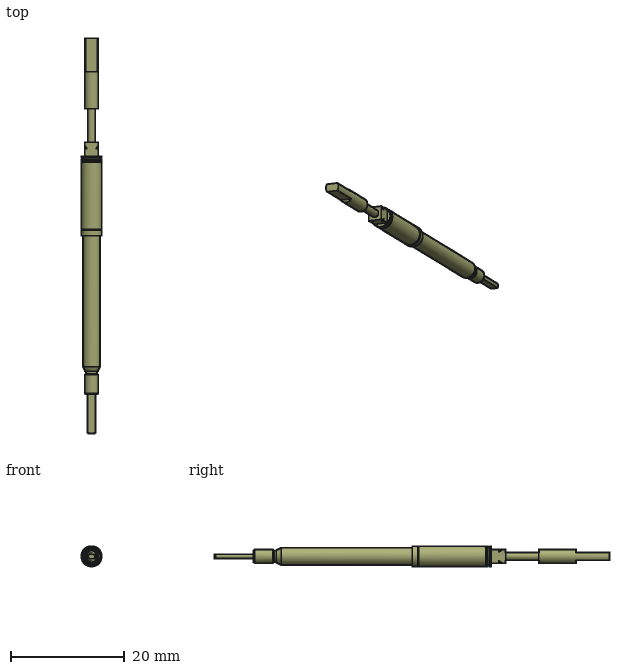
import cadquery as cq
import math

total_length = 69.5
tip_y = total_length / 2
tail_y = -total_length / 2

tip_diameter = 2.4
tip_radius = tip_diameter / 2
tip_flat_thickness = 1.4
tip_flat_length = 5.9
tip_length = 12.45
tip_flat_end_y = tip_y - tip_flat_length
tip_end_y = tip_y - tip_length

stem_radius = 0.7

block_side = tip_diameter
block_corner_radius = block_side / math.sqrt(2)
block_y = 16.5
corner_notch_start_y = 16.0
corner_notch_end_y = 15.3
corner_notch_radius = 1.45
corner_clear_radius = 2.1

barrel_radius = 1.8
seam_groove_radius = 1.75
flange_y = 14.0
flange_end_y = 13.7
snap_groove_radius = 1.45
ring_y = 13.35
ring_end_y = 13.2
narrow_groove_radius = 1.7
sleeve_y = 12.9
sleeve_end_y = 1.2
collar_y = 1.0
collar_end_y = 0.0

tube_radius = 1.5
tube_end_y = -23.0
shoulder_end_radius = 1.1
shoulder_end_y = -23.85

neck_diameter = 2.0
neck_radius = neck_diameter / 2
neck_end_y = -24.25
head_radius = tip_radius
head_y = -24.45
head_end_y = -27.9
head_chamfer = 0.2

blade_radius = 0.75
blade_thickness = 0.75
blade_chamfer = 0.2


def turned(points):
    """Revolve a (radius, y) outline, closed along the axis, about the Y axis."""
    start_y = points[0][1]
    end_y = points[-1][1]
    outline = [(y, radius) for radius, y in points]
    profile = cq.Workplane("YZ").polyline([(start_y, 0)] + outline + [(end_y, 0)]).close()
    return profile.revolve(360, (0, 0), (1, 0))


def slab(width, thickness, start_y, end_y):
    """Box centred on the Y axis between two stations."""
    centre_y = (start_y + end_y) / 2
    return cq.Workplane("XY").box(width, start_y - end_y, thickness).translate((0, centre_y, 0))


def make_tip():
    round_part = turned([(tip_radius, tip_flat_end_y), (tip_radius, tip_end_y)])
    flat_part = turned([(tip_radius, tip_y), (tip_radius, tip_flat_end_y)]).intersect(
        slab(tip_diameter, tip_flat_thickness, tip_y, tip_flat_end_y)
    )
    return round_part.union(flat_part)


def make_block():
    envelope = turned([
        (corner_clear_radius, block_y),
        (corner_clear_radius, corner_notch_start_y),
        (block_corner_radius, corner_notch_start_y),
        (corner_notch_radius, corner_notch_end_y),
        (corner_clear_radius, corner_notch_end_y),
        (corner_clear_radius, flange_y),
    ])
    return slab(block_side, block_side, block_y, flange_y).intersect(envelope)


def make_barrel():
    return turned([
        (barrel_radius, flange_y),
        (barrel_radius, flange_end_y),
        (snap_groove_radius, ring_y),
        (barrel_radius, ring_y),
        (barrel_radius, ring_end_y),
        (narrow_groove_radius, ring_end_y),
        (narrow_groove_radius, sleeve_y),
        (barrel_radius, sleeve_y),
        (barrel_radius, sleeve_end_y),
        (seam_groove_radius, sleeve_end_y),
        (barrel_radius, collar_y),
        (barrel_radius, collar_end_y),
        (tube_radius, collar_end_y),
        (tube_radius, tube_end_y),
        (shoulder_end_radius, shoulder_end_y),
        (neck_radius, shoulder_end_y),
        (neck_radius, neck_end_y),
        (head_radius, head_y),
        (head_radius, head_end_y + head_chamfer),
        (head_radius - head_chamfer, head_end_y),
    ])


def make_blade():
    rod = turned([
        (blade_radius, head_end_y),
        (blade_radius, tail_y + blade_chamfer),
        (blade_radius - blade_chamfer, tail_y),
    ])
    return rod.intersect(slab(2 * blade_radius, blade_thickness, head_end_y, tail_y))


stem = turned([(stem_radius, tip_end_y), (stem_radius, block_y)])

result = make_tip().union(stem).union(make_block()).union(make_barrel()).union(make_blade())